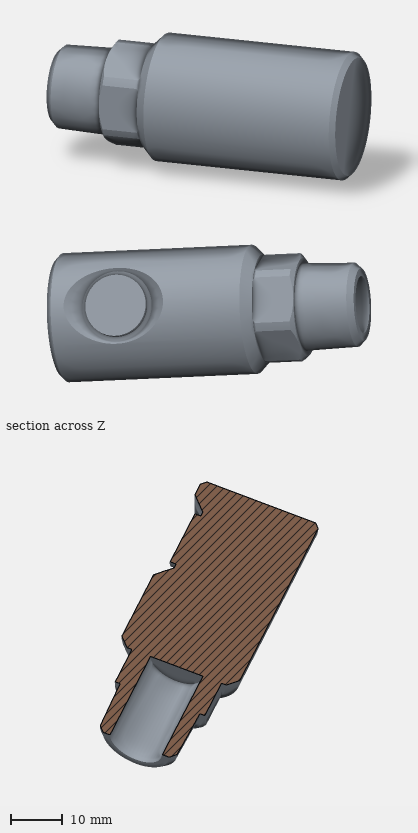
import cadquery as cq
import math

total_length = 60.0

plug_length = 11.4
plug_tip_radius = 7.0
plug_chamfer_length = 1.2
plug_start_radius = 8.15
plug_taper = 1 / 32
plug_end_radius = plug_start_radius + plug_taper * (plug_length - plug_chamfer_length)
bore_radius = 5.5

hex_length = 8.0
hex_across_flats = 19.0
hex_corner_radius = 10.5
hex_front_radius = 9.5
hex_front_chamfer_length = 0.75
hex_back_radius = 10.3
hex_back_chamfer_length = 0.35
hex_end = plug_length + hex_length
bore_depth = hex_end

body_radius = 12.5
body_front_chamfer = 2.0
body_back_chamfer = 1.0

dish_center_x = 46.5
dish_mouth_radius = 9.9
dish_floor_y = 9.5
button_radius = 6.0
button_top_y = 10.75


def turned(profile):
    """Revolve (x, radius) points, closed along the X axis, into a solid."""
    first_x = profile[0][0]
    last_x = profile[-1][0]
    outline = [(first_x, 0)] + profile + [(last_x, 0)]
    return cq.Workplane("XY").polyline(outline).close().revolve(360, (0, 0, 0), (1, 0, 0))


def disc_along_y(radius, start_y, end_y):
    """Cylinder about the button axis, from start_y to end_y."""
    axis = cq.Vector(0, 1, 0)
    start = cq.Vector(dish_center_x, start_y, 0)
    return cq.Workplane(cq.Solid.makeCylinder(radius, end_y - start_y, start, axis))


def make_plug():
    return turned([
        (0, plug_tip_radius),
        (plug_chamfer_length, plug_start_radius),
        (plug_length, plug_end_radius),
    ])


def make_hexagon():
    corner_diameter = hex_across_flats / math.cos(math.pi / 6)
    prism = (
        cq.Workplane("YZ", origin=(plug_length, 0, 0))
        .transformed(rotate=(0, 0, 90))
        .polygon(6, corner_diameter)
        .extrude(hex_length)
    )
    envelope = turned([
        (plug_length, hex_front_radius),
        (plug_length + hex_front_chamfer_length, hex_corner_radius),
        (hex_end - hex_back_chamfer_length, hex_corner_radius),
        (hex_end, hex_back_radius),
    ])
    return prism.intersect(envelope)


def make_body():
    return turned([
        (hex_end, body_radius - body_front_chamfer),
        (hex_end + body_front_chamfer, body_radius),
        (total_length - body_back_chamfer, body_radius),
        (total_length, body_radius - body_back_chamfer),
    ])


def make_dish():
    """45 degree cone that opens outwards along +Y."""
    depth = body_radius - dish_floor_y
    floor_radius = dish_mouth_radius - depth
    floor_center = cq.Vector(dish_center_x, dish_floor_y, 0)
    cone = cq.Solid.makeCone(floor_radius, dish_mouth_radius, depth, floor_center, cq.Vector(0, 1, 0))
    return cq.Workplane(cone)


bore = turned([(0, bore_radius), (bore_depth, bore_radius)])
button = disc_along_y(button_radius, dish_floor_y, button_top_y)

result = make_plug().union(make_hexagon()).union(make_body())
result = result.cut(make_dish()).union(button).cut(bore)